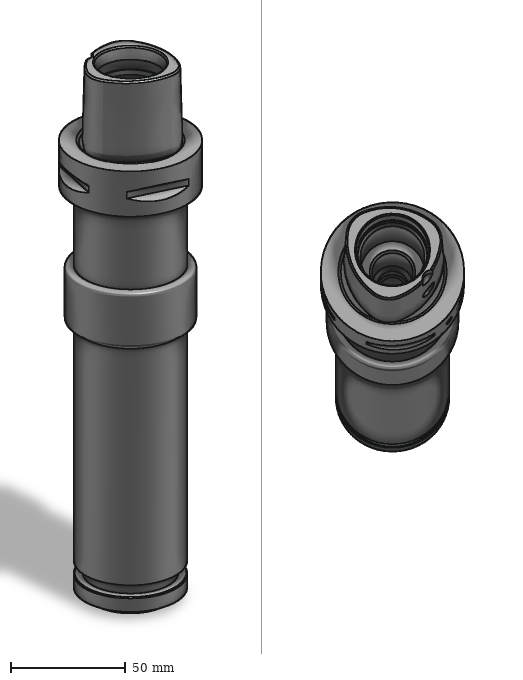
import cadquery as cq
import math

TOTAL_HEIGHT = 260.0
FLANGE_TOP = 222.0
FLANGE_BOTTOM = 200.0
FLANGE_MID = 210.3

FLANGE_DIA = 63.0
BODY_DIA = 50.0
COLLAR_DIA = 58.0

FLANGE_ROOT_DIA = 52.5
FLANGE_ROOT_HEIGHT = 2.0

COLLAR_TOP = 161.2
COLLAR_BOTTOM = 132.3
COLLAR_FILLET = 1.5
COLLAR_BEVEL_HEIGHT = 2.9

GROOVE_DIA = 42.0
GROOVE_TOP = 17.0
GROOVE_BOTTOM = 11.0
GROOVE_EDGE_CHAMFER = 0.5
END_DIA = 37.2
END_BEVEL_HEIGHT = 4.0

LOBE_REACH = 23.5
FLAT_REACH = 20.5
TAPER_ANGLE = math.degrees(math.atan(1 / 40))
TAPER_BASE = FLANGE_TOP + 2.3
SHANK_TOP_CHAMFER = 0.8
NECK_INSET = 0.5

RECESS_OUTER_DIA = 47.5
RECESS_FLOOR_DIA = 45.2
RECESS_DEPTH = 1.0

MOUTH_DIA = 33.0
MOUTH_CHAMFER = 0.8
ENTRY_DIA = 31.7
LIP_DEPTH = 6.2
RELIEF_DIA = 32.0
RELIEF_DEPTH = 11.2
SEAT_DIA = 30.5
BORE_DIA = 28.0
SEAT_DEPTH = 13.0
BORE_DEPTH = 39.0
THREAD_MOUTH_DIA = 20.0
THREAD_DIA = 18.0
THREAD_DEPTH = 62.5
STEP_DIA = 14.0
STEP_DEPTH = 70.2
THROUGH_DIA = 12.0

SLOT_COUNT = 4
SLOT_FLOOR_DISTANCE = 27.5
SLOT_FLOOR_WIDTH = 3.0
SLOT_SIDE_ANGLE = 30.0

MARK_DIA = 4.0
MARK_DEPTH = 1.5
DIMPLE_DIA = 8.0
DIMPLE_HEIGHT = 237.5
NOTCH_DIA = 8.0
NOTCH_AXIS_X = -21.5
NOTCH_DEPTH = 5.7
DRILL_POINT_ANGLE = 90.0


def revolve_profile(points):
    """Revolve (radius, height) points about the Z axis."""
    return cq.Workplane("XZ").polyline(points).close().revolve(360, (0, 0, 0), (0, 1, 0))


def body():
    """Flange, collar and lower cylinder as one turned profile."""
    body_r = BODY_DIA / 2
    collar_r = COLLAR_DIA / 2
    turned = revolve_profile([
        (0, 0),
        (END_DIA / 2, 0),
        (body_r, END_BEVEL_HEIGHT),
        (body_r, GROOVE_BOTTOM - GROOVE_EDGE_CHAMFER),
        (body_r - GROOVE_EDGE_CHAMFER, GROOVE_BOTTOM),
        (GROOVE_DIA / 2, GROOVE_BOTTOM),
        (GROOVE_DIA / 2, GROOVE_TOP),
        (body_r, GROOVE_TOP),
        (body_r, COLLAR_BOTTOM),
        (collar_r, COLLAR_BOTTOM + COLLAR_BEVEL_HEIGHT),
        (collar_r, COLLAR_TOP),
        (body_r, COLLAR_TOP),
        (body_r, FLANGE_BOTTOM - FLANGE_ROOT_HEIGHT),
        (FLANGE_ROOT_DIA / 2, FLANGE_BOTTOM),
        (FLANGE_DIA / 2, FLANGE_BOTTOM),
        (FLANGE_DIA / 2, FLANGE_TOP),
        (0, FLANGE_TOP),
    ])
    collar_side = cq.selectors.NearestToPointSelector((collar_r, 0, (COLLAR_TOP + COLLAR_BOTTOM) / 2))
    return turned.faces(collar_side).edges("%CIRCLE").fillet(COLLAR_FILLET)


def flange_recess():
    """Shallow conical recess in the upper flange face."""
    floor = FLANGE_TOP - RECESS_DEPTH
    return revolve_profile([
        (0, floor),
        (RECESS_FLOOR_DIA / 2, floor),
        (RECESS_OUTER_DIA / 2, FLANGE_TOP),
        (0, FLANGE_TOP),
    ])


def polar(radius, degrees, center=(0, 0)):
    """Point at a radius and direction from a center."""
    angle = math.radians(degrees)
    return (center[0] + radius * math.cos(angle), center[1] + radius * math.sin(angle))


def lobed_outline(height):
    """Three small lobe arcs joined tangentially by three large flat arcs, a lobe toward +X."""
    center_offset = (LOBE_REACH - FLAT_REACH) / (2 - math.sqrt(3))
    flat_radius = FLAT_REACH + center_offset
    outline = cq.Workplane("XY", origin=(0, 0, height))
    outline = outline.moveTo(*polar(flat_radius, -30, polar(center_offset, 120)))
    for lobe in (0, 120, 240):
        flat = lobe + 60
        flat_center = polar(center_offset, flat + 180)
        outline = outline.threePointArc(polar(LOBE_REACH, lobe), polar(flat_radius, flat - 30, flat_center))
        outline = outline.threePointArc(polar(FLAT_REACH, flat), polar(flat_radius, flat + 30, flat_center))
    return outline.close()


def shank():
    """Tapered three-lobed shank with a neck narrowing down into the flange recess."""
    taper = lobed_outline(TAPER_BASE).extrude(TOTAL_HEIGHT - TAPER_BASE, taper=TAPER_ANGLE)
    taper = taper.faces(">Z").edges().chamfer(SHANK_TOP_CHAMFER)
    neck_height = TAPER_BASE - FLANGE_TOP + RECESS_DEPTH
    neck_angle = math.degrees(math.atan(NECK_INSET / neck_height))
    neck = lobed_outline(TAPER_BASE).extrude(-neck_height, taper=neck_angle)
    return taper.union(neck)


def stepped_bore():
    """Bore from the shank mouth down to the through hole."""
    top = TOTAL_HEIGHT
    thread_chamfer = (THREAD_MOUTH_DIA - THREAD_DIA) / 2
    step_chamfer = (THREAD_DIA - STEP_DIA) / 2
    through_chamfer = (STEP_DIA - THROUGH_DIA) / 2
    return revolve_profile([
        (0, top),
        (MOUTH_DIA / 2, top),
        (ENTRY_DIA / 2, top - MOUTH_CHAMFER),
        (SEAT_DIA / 2, top - LIP_DEPTH),
        (RELIEF_DIA / 2, top - LIP_DEPTH),
        (RELIEF_DIA / 2, top - RELIEF_DEPTH),
        (SEAT_DIA / 2, top - RELIEF_DEPTH),
        (BORE_DIA / 2, top - SEAT_DEPTH),
        (BORE_DIA / 2, top - BORE_DEPTH),
        (THREAD_MOUTH_DIA / 2, top - BORE_DEPTH),
        (THREAD_DIA / 2, top - BORE_DEPTH - thread_chamfer),
        (THREAD_DIA / 2, top - THREAD_DEPTH),
        (STEP_DIA / 2, top - THREAD_DEPTH - step_chamfer),
        (STEP_DIA / 2, top - STEP_DEPTH),
        (THROUGH_DIA / 2, top - STEP_DEPTH - through_chamfer),
        (THROUGH_DIA / 2, 0),
        (0, 0),
    ])


def gripper_slots():
    """Trapezoidal slots cut straight across the flange rim, midway between the X and Y axes."""
    outer = FLANGE_DIA / 2
    floor_half = SLOT_FLOOR_WIDTH / 2
    mouth_half = floor_half + (outer - SLOT_FLOOR_DISTANCE) * math.tan(math.radians(SLOT_SIDE_ANGLE))
    slot = (
        cq.Workplane("XZ", origin=(0, 0, FLANGE_MID))
        .polyline([
            (SLOT_FLOOR_DISTANCE, -floor_half),
            (outer, -mouth_half),
            (outer, mouth_half),
            (SLOT_FLOOR_DISTANCE, floor_half),
        ])
        .close()
        .extrude(outer, both=True)
    )
    pitch = 360 / SLOT_COUNT
    slots = cq.Workplane("XY")
    for index in range(SLOT_COUNT):
        slots = slots.add(slot.rotate((0, 0, 0), (0, 0, 1), pitch * (index + 0.5)))
    return slots.combine()


def drill(diameter, start, direction, depth):
    """Drilled hole: a cylinder of the given depth ending in a conical point."""
    radius = diameter / 2
    point_height = radius / math.tan(math.radians(DRILL_POINT_ANGLE / 2))
    origin = cq.Vector(*start)
    axis = cq.Vector(*direction)
    shaft = cq.Solid.makeCylinder(radius, depth, origin, axis)
    point = cq.Solid.makeCone(radius, 0, point_height, origin + axis * depth, axis)
    return cq.Workplane(shaft.fuse(point))


def flat_side_x(height):
    """X of the middle of the -X flat of the shank at a height."""
    return -FLAT_REACH + (height - TAPER_BASE) * math.tan(math.radians(TAPER_ANGLE))


result = body().cut(flange_recess()).union(shank()).cut(stepped_bore()).cut(gripper_slots())

mark_start = (-FLANGE_DIA / 2, 0, FLANGE_MID)
dimple_center = (flat_side_x(DIMPLE_HEIGHT), 0, DIMPLE_HEIGHT)
notch_start = (NOTCH_AXIS_X, 0, TOTAL_HEIGHT)
result = result.cut(drill(MARK_DIA, mark_start, (1, 0, 0), MARK_DEPTH))
result = result.cut(cq.Workplane().sphere(DIMPLE_DIA / 2).translate(dimple_center))
result = result.cut(drill(NOTCH_DIA, notch_start, (0, 0, -1), NOTCH_DEPTH))